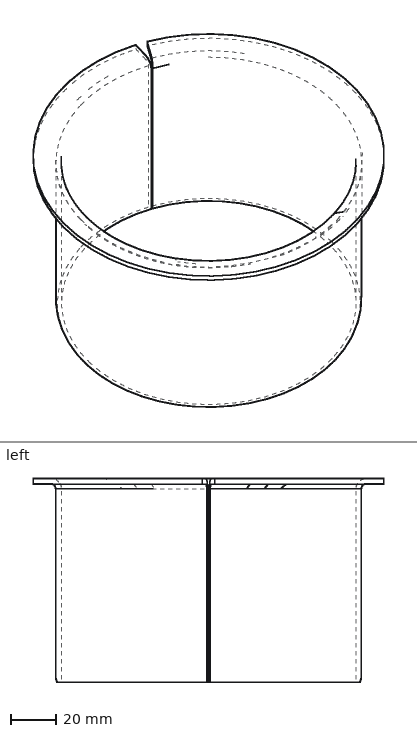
import cadquery as cq

flange_diameter = 155.0
bore_diameter = 130.0
wall = 2.5
height = 90.0
inner_bend_radius = 4.5

chamfer_height = 2.0
chamfer_width = 0.6

split_inner_width = 0.8
split_outer_width = 5.5

flange_radius = flange_diameter / 2
bore_radius = bore_diameter / 2
sleeve_radius = bore_radius + wall
bend_center_radius = bore_radius + inner_bend_radius
bend_center_z = height - inner_bend_radius
outer_bend_radius = inner_bend_radius - wall
cos_45 = 0.5**0.5


def bend_middle(radius):
    """Midpoint of a quarter bend arc in the (radius, Z) plane."""
    return (bend_center_radius - radius * cos_45, bend_center_z + radius * cos_45)


def make_bushing():
    """Revolve the sleeve, bend and flange section around Z."""
    return (
        cq.Workplane("XZ")
        .moveTo(bore_radius, 0)
        .lineTo(sleeve_radius - chamfer_width, 0)
        .lineTo(sleeve_radius, chamfer_height)
        .lineTo(sleeve_radius, bend_center_z)
        .threePointArc(bend_middle(outer_bend_radius), (bend_center_radius, height - wall))
        .lineTo(flange_radius, height - wall)
        .lineTo(flange_radius, height)
        .lineTo(bend_center_radius, height)
        .threePointArc(bend_middle(inner_bend_radius), (bore_radius, bend_center_z))
        .close()
        .revolve(360, (0, 0), (0, 1))
    )


def make_split():
    """Full-height wedge that opens outward through the -X side."""
    return (
        cq.Workplane("XY")
        .polyline([
            (-bore_radius, -split_inner_width / 2),
            (-bore_radius, split_inner_width / 2),
            (-flange_radius, split_outer_width / 2),
            (-flange_radius, -split_outer_width / 2),
        ])
        .close()
        .extrude(height)
    )


result = make_bushing().cut(make_split())